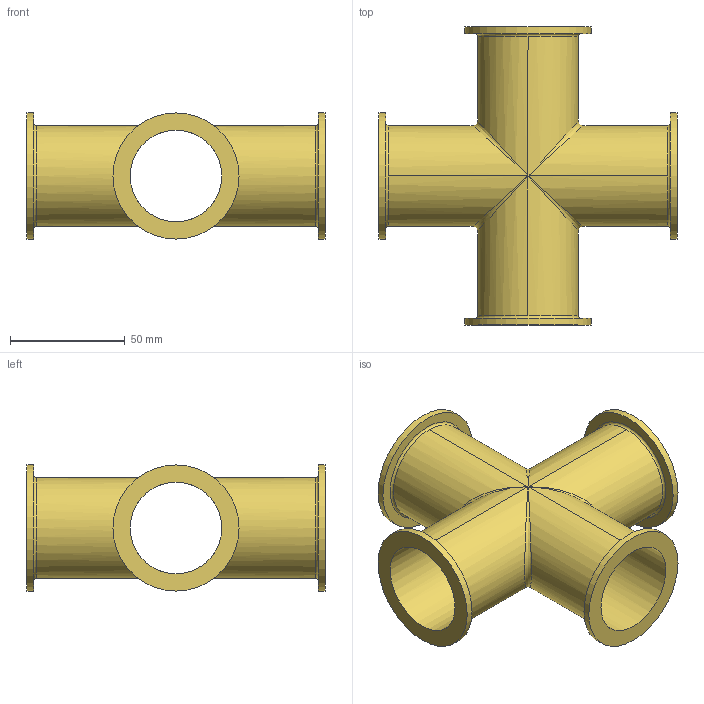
import cadquery as cq

SPAN = 130.0
BORE_DIAMETER = 40.0
WALL = 2.0
FLANGE_DIAMETER = 55.0
FLANGE_THICKNESS = 3.0
FLANGE_FILLET = 1.0
CROTCH_FILLET = 2.0

BORE_RADIUS = BORE_DIAMETER / 2
TUBE_RADIUS = BORE_RADIUS + WALL
FLANGE_RADIUS = FLANGE_DIAMETER / 2
END_FACE = SPAN / 2
FLANGE_BACK = END_FACE - FLANGE_THICKNESS
TUBE_END = FLANGE_BACK - FLANGE_FILLET
PORT_COUNT = 4
PORT_PITCH = 360 / PORT_COUNT


def port_copies(solid):
    """The solid repeated about Z at every port of the cross."""
    return [
        solid.rotate((0, 0, 0), (0, 0, 1), port * PORT_PITCH)
        for port in range(PORT_COUNT)
    ]


def crossed_cylinders(radius, reach):
    """Two equal cylinders along X and Y, each reaching this far either side of the centre."""
    along_x = cq.Workplane("YZ").circle(radius).extrude(reach, both=True)
    along_y = cq.Workplane("XZ").circle(radius).extrude(reach, both=True)
    return along_x.union(along_y)


def quarter_tube_cross():
    """The +X +Y quarter of the solid tube cross, with its crotch seam rounded."""
    quadrant = cq.Workplane("XY").box(SPAN, SPAN, SPAN, centered=(False, False, True))
    quarter = crossed_cylinders(TUBE_RADIUS, TUBE_END).intersect(quadrant)
    seam = [edge for edge in quarter.edges().vals() if edge.geomType() == "ELLIPSE"]
    return quarter.newObject(seam).fillet(CROTCH_FILLET)


def flange():
    """Solid flange at the +X end, revolved about X with its root fillet onto the tube."""
    root_radius = TUBE_RADIUS + FLANGE_FILLET
    return (
        cq.Workplane("XZ")
        .moveTo(TUBE_END, 0)
        .lineTo(TUBE_END, TUBE_RADIUS)
        .radiusArc((FLANGE_BACK, root_radius), -FLANGE_FILLET)
        .lineTo(FLANGE_BACK, FLANGE_RADIUS)
        .lineTo(END_FACE, FLANGE_RADIUS)
        .lineTo(END_FACE, 0)
        .close()
        .revolve(360, (0, 0, 0), (1, 0, 0))
    )


body = cq.Workplane("XY")
for piece in port_copies(quarter_tube_cross()) + port_copies(flange()):
    body = body.union(piece, clean=False)

result = body.cut(crossed_cylinders(BORE_RADIUS, END_FACE), clean=False)